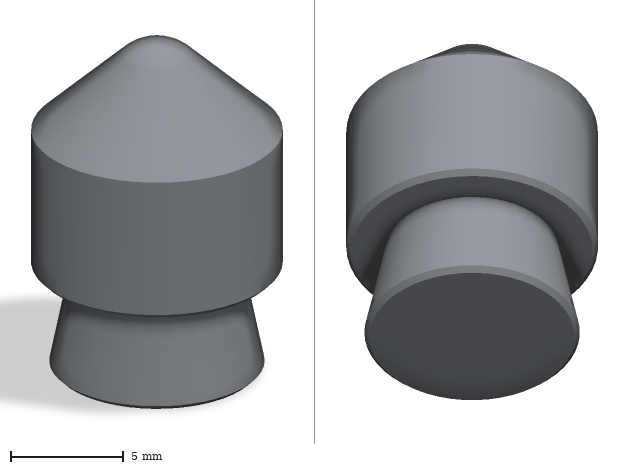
import cadquery as cq
import math

total_height = 15.94
collar_bottom = 4.85
shoulder_height = 11.57
tip_base_height = 15.33

body_radius = 11.17 / 2
neck_radius = 3.85
foot_radius = 4.78
tip_radius = 1.58

edge_chamfer = 0.24

tip_rise = total_height - tip_base_height
sphere_radius = (tip_radius**2 + tip_rise**2) / (2 * tip_rise)
sphere_center = total_height - sphere_radius
half_angle = math.asin(tip_radius / sphere_radius) / 2
arc_middle = (
    sphere_radius * math.sin(half_angle),
    sphere_center + sphere_radius * math.cos(half_angle),
)

half_profile = (
    cq.Workplane("XZ")
    .lineTo(foot_radius - edge_chamfer, 0)
    .lineTo(foot_radius, edge_chamfer)
    .lineTo(neck_radius, collar_bottom)
    .lineTo(body_radius - edge_chamfer, collar_bottom)
    .lineTo(body_radius, collar_bottom + edge_chamfer)
    .lineTo(body_radius, shoulder_height)
    .lineTo(tip_radius, tip_base_height)
    .threePointArc(arc_middle, (0, total_height))
    .close()
)

result = half_profile.revolve(360, (0, 0, 0), (0, 1, 0))